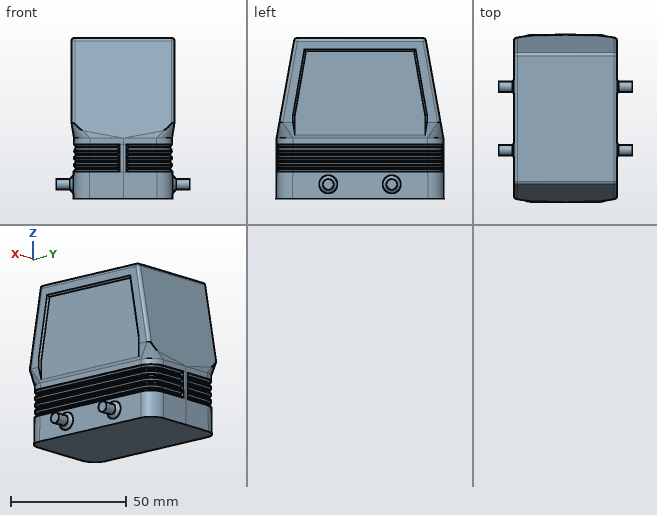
import cadquery as cq
import math

length = 73.0
height = 70.0
pin_span = 58.0

skirt_half_x = 21.6
skirt_half_y = length / 2
skirt_height = 26.5
skirt_draft = 0.2
skirt_corner_radius = 6.9
end_crease = 0.2

hood_half_x = 22.5
hood_top_half_y = 28.5
hood_fillet = 1.45

shoulder_top = 33.4
shoulder_half_y = 35.4

band_bottom = 11.8
band_margin = 0.15
band_inset = 0.15
groove_count = 4
groove_width = 2.5
groove_floor_width = 0.5
groove_depth = 0.9
rib_width = 0.6
band_top = band_bottom + 2 * band_margin + groove_count * groove_width + (groove_count - 1) * rib_width
bar_half_width = 1.25

panel_depth = 0.9
panel_top_half_y = 23.4
panel_low_half_y = 28.25
panel_top = 64.1
panel_bend = 36.5

pin_radius = 2.3
pin_offset_y = 13.8
pin_height = 6.35
pin_collar_radius = 3.95
pin_collar_length = 1.5
pin_embed = 0.7

margin = 3.65


def creased_outline(z, half_x, half_y, radius):
    """Round-cornered rectangle whose two Y sides are very slightly peaked at x = 0."""
    corner_y = half_y - end_crease
    points = [
        (half_x, corner_y),
        (0, half_y),
        (-half_x, corner_y),
        (-half_x, -corner_y),
        (0, -half_y),
        (half_x, -corner_y),
    ]
    wire = cq.Wire.makePolygon([cq.Vector(x, y, z) for x, y in points], close=True)
    corners = [v for v in wire.Vertices() if abs(v.X) > half_x / 2]
    return wire.fillet2D(radius, corners)


def skirt_outline(z, inset=0.0):
    """Outline of the drafted skirt at height z, moved inwards by the inset."""
    shrink = skirt_draft * z / skirt_height + inset
    return creased_outline(
        z, skirt_half_x - shrink, skirt_half_y - shrink, skirt_corner_radius - inset
    )


def ruled_loft(*outlines):
    return cq.Workplane(cq.Solid.makeLoft(list(outlines), True))


def make_grooved_skirt():
    """Skirt with a set-back band of trapezoidal grooves running all the way round."""
    flank = (groove_width - groove_floor_width) / 2
    outlines = [
        skirt_outline(0),
        skirt_outline(band_bottom),
        skirt_outline(band_bottom, band_inset),
    ]
    for index in range(groove_count):
        bottom = band_bottom + band_margin + index * (groove_width + rib_width)
        outlines += [
            skirt_outline(bottom, band_inset),
            skirt_outline(bottom + flank, groove_depth),
            skirt_outline(bottom + flank + groove_floor_width, groove_depth),
            skirt_outline(bottom + groove_width, band_inset),
        ]
    outlines += [
        skirt_outline(band_top, band_inset),
        skirt_outline(band_top),
        skirt_outline(skirt_height),
    ]
    return ruled_loft(*outlines)


def make_end_bar(side):
    """Upright bar that closes the grooves on one end; its flanks splay at 45 degrees."""
    root_y = skirt_half_y - 2 * groove_depth
    root_half_width = bar_half_width + 2 * groove_depth
    wedge = (
        cq.Workplane("XY")
        .polyline([
            (-bar_half_width, side * (skirt_half_y + margin)),
            (-bar_half_width, side * skirt_half_y),
            (-root_half_width, side * root_y),
            (root_half_width, side * root_y),
            (bar_half_width, side * skirt_half_y),
            (bar_half_width, side * (skirt_half_y + margin)),
        ])
        .close()
        .extrude(skirt_height)
    )
    return ruled_loft(skirt_outline(0), skirt_outline(skirt_height)).intersect(wedge)


def make_hood():
    """Wedge-ended block with rounded edges, drawn in at the bottom by the shoulder."""
    base_half_y = skirt_half_y - skirt_draft
    block = (
        cq.Workplane("YZ")
        .moveTo(-base_half_y, skirt_height)
        .lineTo(base_half_y, skirt_height)
        .lineTo(hood_top_half_y, height)
        .lineTo(-hood_top_half_y, height)
        .close()
        .extrude(hood_half_x, both=True)
        .edges("not <Z")
        .fillet(hood_fillet)
    )
    shoulder = ruled_loft(
        skirt_outline(skirt_height),
        creased_outline(shoulder_top, hood_half_x, shoulder_half_y, hood_fillet),
    )
    above_shoulder = (
        cq.Workplane("XY", origin=(0, 0, shoulder_top))
        .rect(2 * hood_half_x + margin, length + margin)
        .extrude(height)
    )
    return block.intersect(shoulder).union(block.intersect(above_shoulder))


def make_panel(side):
    """Recess with 45-degree walls that runs out through the sloping shoulder below."""
    lean = math.atan2(panel_low_half_y - panel_top_half_y, panel_top - panel_bend)
    floor_x = hood_half_x - panel_depth

    def panel_outline(outset):
        top_half_y = panel_top_half_y + outset / math.cos(lean) - outset * math.tan(lean)
        low_half_y = panel_low_half_y + outset
        points = [
            (low_half_y, skirt_height),
            (low_half_y, panel_bend),
            (top_half_y, panel_top + outset),
            (-top_half_y, panel_top + outset),
            (-low_half_y, panel_bend),
            (-low_half_y, skirt_height),
        ]
        x = side * (floor_x + outset)
        return cq.Wire.makePolygon([cq.Vector(x, y, z) for y, z in points], close=True)

    return ruled_loft(panel_outline(0), panel_outline(panel_depth))


def make_pin(side, y):
    """Round pin with a conical collar where it leaves the skirt."""
    collar_end = skirt_half_x + pin_collar_length
    root = skirt_half_x - pin_embed
    profile = [
        (root, 0),
        (root, pin_collar_radius),
        (skirt_half_x, pin_collar_radius),
        (collar_end, pin_radius),
        (pin_span / 2, pin_radius),
        (pin_span / 2, 0),
    ]
    return (
        cq.Workplane("XY")
        .polyline([(side * x, radius) for x, radius in profile])
        .close()
        .revolve(360, (0, 0, 0), (1, 0, 0))
        .translate((0, y, pin_height))
    )


skirt = make_grooved_skirt()
for side in (-1, 1):
    skirt = skirt.union(make_end_bar(side))

hood = make_hood()
for side in (-1, 1):
    hood = hood.cut(make_panel(side))

result = skirt.union(hood)
for side in (-1, 1):
    for pin_y in (-pin_offset_y, pin_offset_y):
        result = result.union(make_pin(side, pin_y))